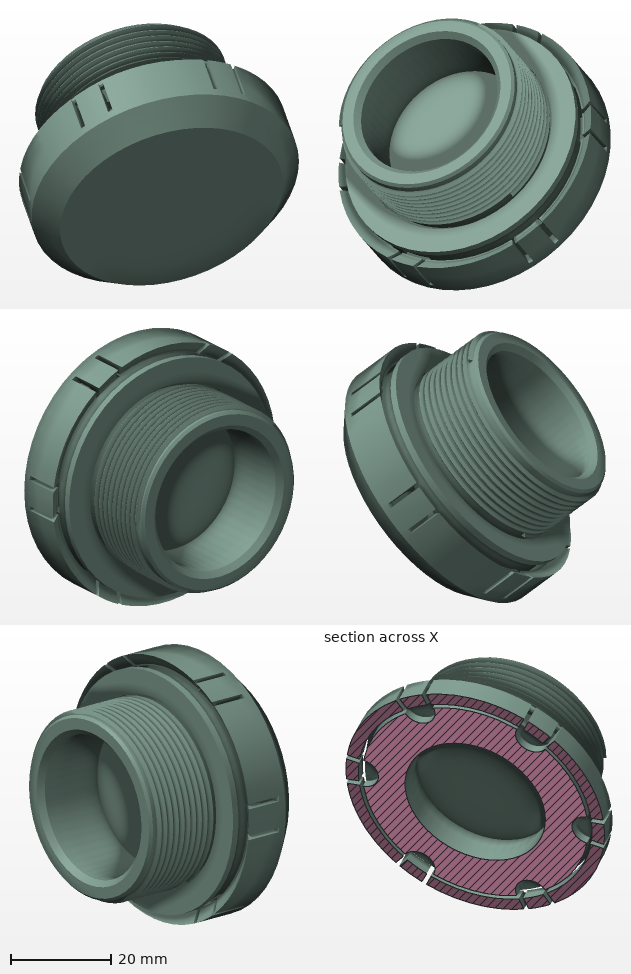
import cadquery as cq
import math

SHANK_DIAMETER = 38.0
SHANK_END_CHAMFER = 0.55
BORE_DIAMETER = 29.85
BORE_MOUTH_DIAMETER = 32.2
BORE_MOUTH_DEPTH = 1.15
NECK_DIAMETER = 48.3
NECK_START = 17.7

THREAD_DIAMETER = 39.75
THREAD_RISE = 14.5
THREAD_TURNS = 9.65
THREAD_START = 1.4
THREAD_CREST_WIDTH = 0.05
THREAD_FLANK_ANGLE = 30.0
THREAD_OVERLAP = 0.15

SEAL_DIAMETER = 50.4
SEAL_BORE_DIAMETER = 40.0
SEAL_THICKNESS = 1.45

CAP_DIAMETER = 55.3
CAP_RIM = 18.4
CAP_SHOULDER = 28.0
CAP_END = 32.8
CAP_END_DIAMETER = 46.1
CAP_CAVITY_DIAMETER = 49.75
CAP_MOUTH_STEP = 0.35
CAP_GROOVE_DEPTH = 0.65
CAP_GROOVE_START = 23.5
CAP_MOUTH_DEPTH = 2.0

FINGER_COUNT = 6
SLOT_ANGLE = 6.75
SLOT_WIDTH = 1.0
SLOT_END = 26.4

RECESS_RADIUS = 3.45
RECESS_START = 21.1
RECESS_LENGTH = 2.0

DISC_FACE = 14.95
DISC_THICKNESS = 1.65
PLUG_DIAMETER = 4.8

SEAL_START = NECK_START - SEAL_THICKNESS
FINGER_ANGLES = [i * 360 / FINGER_COUNT for i in range(FINGER_COUNT)]


def turned(points):
    """Solid of revolution about X from (x, radius) points."""
    return cq.Workplane("XY").polyline(points).close().revolve(360, (0, 0), (1, 0))


def rod(start, length, diameter):
    """Round bar on the X axis."""
    return cq.Workplane("YZ").workplane(offset=start).circle(diameter / 2).extrude(length)


def thread_ridge():
    """Right-hand helical ridge, rooted slightly inside the shank."""
    root_radius = SHANK_DIAMETER / 2 - THREAD_OVERLAP
    crest_radius = THREAD_DIAMETER / 2
    half_crest = THREAD_CREST_WIDTH / 2
    half_root = half_crest + (crest_radius - root_radius) * math.tan(math.radians(THREAD_FLANK_ANGLE))
    helix = cq.Wire.makeHelix(THREAD_RISE / THREAD_TURNS, THREAD_RISE, root_radius)
    ridge = (
        cq.Workplane("XZ")
        .polyline([
            (root_radius, -half_root),
            (crest_radius, -half_crest),
            (crest_radius, half_crest),
            (root_radius, half_root),
        ])
        .close()
        .sweep(cq.Workplane(helix), isFrenet=True)
    )
    ridge = ridge.rotate((0, 0, 0), (0, 1, 0), 90).rotate((0, 0, 0), (1, 0, 0), 90)
    return ridge.translate((THREAD_START, 0, 0))


def snap_recess(angle):
    """Round-bottomed pocket sunk into the neck under one finger."""
    scoop = rod(RECESS_START, RECESS_LENGTH, 2 * RECESS_RADIUS).translate((0, NECK_DIAMETER / 2, 0))
    return scoop.rotate((0, 0, 0), (1, 0, 0), angle)


def make_housing():
    shank_radius = SHANK_DIAMETER / 2
    bore_radius = BORE_DIAMETER / 2
    neck_radius = NECK_DIAMETER / 2
    housing = turned([
        (0, BORE_MOUTH_DIAMETER / 2),
        (0, shank_radius - SHANK_END_CHAMFER),
        (SHANK_END_CHAMFER, shank_radius),
        (NECK_START, shank_radius),
        (NECK_START, neck_radius),
        (CAP_SHOULDER, neck_radius),
        (CAP_SHOULDER, bore_radius),
        (BORE_MOUTH_DEPTH, bore_radius),
    ])
    for angle in FINGER_ANGLES:
        housing = housing.cut(snap_recess(angle))
    return housing.union(thread_ridge())


def make_seal():
    return rod(SEAL_START, SEAL_THICKNESS, SEAL_DIAMETER).cut(
        rod(SEAL_START, SEAL_THICKNESS, SEAL_BORE_DIAMETER)
    )


def finger_slot(angle):
    """Straight-sided radial slot from the cap rim."""
    depth = CAP_DIAMETER / 2
    slot = cq.Workplane("XY").box(SLOT_END - CAP_RIM, depth, SLOT_WIDTH, centered=(False, False, True))
    return slot.translate((CAP_RIM, depth / 2, 0)).rotate((0, 0, 0), (1, 0, 0), angle)


def make_cap():
    cavity_radius = CAP_CAVITY_DIAMETER / 2
    groove_radius = cavity_radius + CAP_GROOVE_DEPTH
    mouth_end = CAP_RIM + CAP_MOUTH_DEPTH
    cap = turned([
        (CAP_RIM, CAP_DIAMETER / 2),
        (CAP_SHOULDER, CAP_DIAMETER / 2),
        (CAP_END, CAP_END_DIAMETER / 2),
        (CAP_END, 0),
        (CAP_SHOULDER, 0),
        (CAP_SHOULDER, cavity_radius),
        (SLOT_END + CAP_GROOVE_DEPTH, cavity_radius),
        (SLOT_END, groove_radius),
        (CAP_GROOVE_START, groove_radius),
        (CAP_GROOVE_START, cavity_radius),
        (mouth_end, cavity_radius),
        (mouth_end, cavity_radius + CAP_MOUTH_STEP),
    ])
    for angle in FINGER_ANGLES:
        for side in (-1, 1):
            cap = cap.cut(finger_slot(angle + side * SLOT_ANGLE))
    return cap


def make_disc():
    return rod(DISC_FACE, DISC_THICKNESS, BORE_DIAMETER).cut(
        rod(DISC_FACE, DISC_THICKNESS, PLUG_DIAMETER)
    )


def make_plug():
    return rod(DISC_FACE, DISC_THICKNESS, PLUG_DIAMETER)


housing = make_housing()
seal = make_seal()
cap = make_cap()
disc = make_disc()
plug = make_plug()

result = cq.Compound.makeCompound([
    housing.val(),
    seal.val(),
    cap.val(),
    disc.val(),
    plug.val(),
])